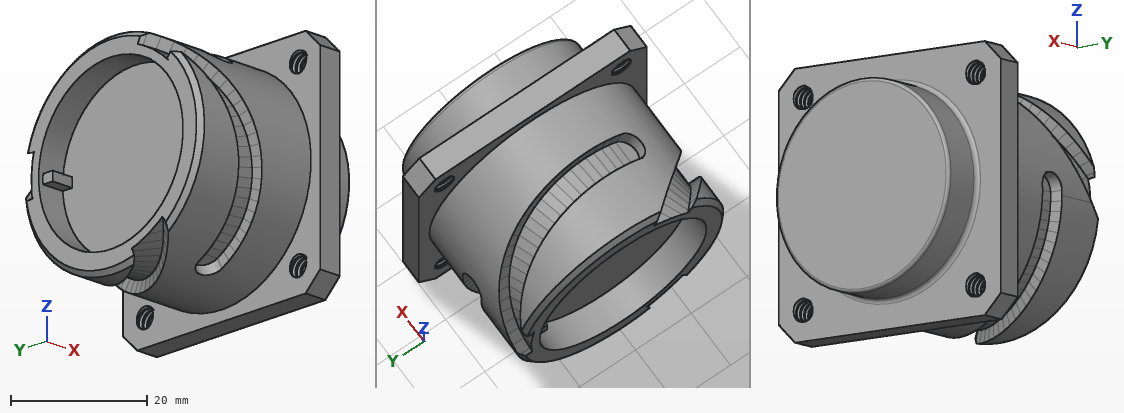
import cadquery as cq
import math

barrel_length = 22.95
flange_thickness = 4.1
total_length = 33.8
barrel_radius = 18.6
barrel_chamfer = 0.8

flange_side = 41.0
flange_corner_chamfer = 3.0

spigot_radius = 16.0
spigot_root_fillet = 0.7
spigot_edge_fillet = 0.5

socket_radius = 15.0
socket_depth = 5.0
key_width = 1.7
key_inner_offset = 13.0
key_length = 4.1
key_embedding = 0.4

hole_offset = 15.9
hole_minor_radius = 1.65
thread_depth = 0.3
thread_pitch = 1.0
thread_flank_gap = 0.05
thread_overlap = 0.1

ramp_count = 3
ramp_width = 4.7
ramp_floor_radius = 16.5
ramp_end_x = 12.15
ramp_entry_angle = 58.2
ramp_sweep_angle = 120.7
ramp_exponent = 2.5
ramp_segments = 24
ramp_lead_in_segments = 4
ramp_clearance = 1.25

flange_rear_x = barrel_length + flange_thickness


def disc(radius, x_start, length):
    """Cylinder along +X starting at x_start."""
    return cq.Workplane("YZ").workplane(offset=x_start).circle(radius).extrude(length)


def make_barrel():
    barrel = disc(barrel_radius, 0, barrel_length).faces("<X").chamfer(barrel_chamfer)
    return barrel.cut(disc(socket_radius, 0, socket_depth))


def make_flange():
    """Square plate with cut corners and a threaded hole near each corner."""
    flange = (
        cq.Workplane("YZ")
        .workplane(offset=barrel_length)
        .rect(flange_side, flange_side)
        .extrude(flange_thickness)
        .edges("|X")
        .chamfer(flange_corner_chamfer)
    )
    thread = make_thread_cutter()
    bore = disc(hole_minor_radius, barrel_length - thread_pitch, flange_thickness + 2 * thread_pitch)
    for side_y in (-1, 1):
        for side_z in (-1, 1):
            position = (0, side_y * hole_offset, side_z * hole_offset)
            flange = flange.cut(thread.translate(position)).cut(bore.translate(position))
    return flange


def make_spigot():
    """Rear spigot as a revolved profile, flared at the flange and rounded at its free edge."""
    root = spigot_root_fillet
    edge = spigot_edge_fillet
    diagonal = math.sqrt(0.5)
    profile = (
        cq.Workplane("XY")
        .moveTo(flange_rear_x, 0)
        .lineTo(flange_rear_x, spigot_radius + root)
        .threePointArc(
            (flange_rear_x + root * (1 - diagonal), spigot_radius + root * (1 - diagonal)),
            (flange_rear_x + root, spigot_radius),
        )
        .lineTo(total_length - edge, spigot_radius)
        .threePointArc(
            (total_length - edge * (1 - diagonal), spigot_radius - edge * (1 - diagonal)),
            (total_length, spigot_radius - edge),
        )
        .lineTo(total_length, 0)
        .close()
    )
    return profile.revolve(360, (0, 0, 0), (1, 0, 0))


def make_key():
    """Rectangular key on the +Y side of the socket, standing on the socket floor."""
    key_height = socket_radius - key_inner_offset + key_embedding
    key = cq.Workplane("XY").box(key_length, key_height, key_width, centered=(False, False, True))
    return key.translate((socket_depth - key_length, key_inner_offset, 0))


def ramp_section(progress):
    """Rectangular cutter section across the ramp; progress is 0 at the mouth and 1 at the stop."""
    remaining = 1 - progress
    angle = math.radians(ramp_entry_angle - ramp_sweep_angle * progress)
    radial = cq.Vector(0, -math.cos(angle), math.sin(angle))
    around = cq.Vector(0, math.sin(angle), math.cos(angle))
    axis = cq.Vector(1, 0, 0)

    axial_rate = ramp_end_x * ramp_exponent * remaining ** (ramp_exponent - 1)
    around_rate = -barrel_radius * math.radians(ramp_sweep_angle)
    tangent = (axis * axial_rate + around * around_rate).normalized()
    half_across = radial.cross(tangent) * (ramp_width / 2)

    centre = axis * (ramp_end_x * (1 - remaining ** ramp_exponent))
    floor = centre + radial * ramp_floor_radius
    top = centre + radial * (barrel_radius + ramp_clearance)
    corners = [floor - half_across, floor + half_across, top + half_across, top - half_across]
    return cq.Wire.makePolygon(corners, close=True)


def make_ramp_cutter():
    steps = range(-ramp_lead_in_segments, ramp_segments + 1)
    sections = [ramp_section(step / ramp_segments) for step in steps]
    channel = cq.Workplane(cq.Solid.makeLoft(sections, True))

    end_angle = math.radians(ramp_entry_angle - ramp_sweep_angle)
    outward = cq.Vector(0, -math.cos(end_angle), math.sin(end_angle))
    stop = cq.Solid.makeCylinder(
        ramp_width / 2,
        barrel_radius + ramp_clearance - ramp_floor_radius,
        cq.Vector(ramp_end_x, 0, 0) + outward * ramp_floor_radius,
        outward,
    )
    return channel.union(cq.Workplane(stop))


def make_thread_cutter():
    """Helical V groove along X, deepest on the +Z side where it meets the front of the flange."""
    half_width = thread_pitch / 2 - thread_flank_gap
    inner = hole_minor_radius - thread_overlap
    crest = hole_minor_radius + thread_depth
    helix = cq.Wire.makeHelix(thread_pitch, flange_thickness + 2 * thread_pitch, hole_minor_radius)
    groove = (
        cq.Workplane("XZ")
        .polyline([(inner, -half_width), (crest, 0), (inner, half_width)])
        .close()
        .sweep(cq.Workplane(helix), isFrenet=True)
    )
    along_x = groove.rotate((0, 0, 0), (0, 1, 0), 90).rotate((0, 0, 0), (1, 0, 0), 180)
    return along_x.translate((barrel_length - thread_pitch, 0, 0))


result = make_barrel().union(make_flange()).union(make_spigot()).union(make_key())

ramp_cutter = make_ramp_cutter()
for index in range(ramp_count):
    result = result.cut(ramp_cutter.rotate((0, 0, 0), (1, 0, 0), index * 360 / ramp_count))